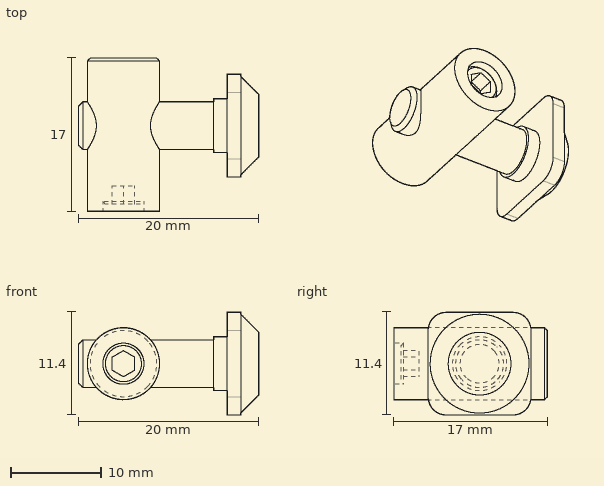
import cadquery as cq
import math

overall_length = 20.0
bolt_diameter = 5.3
tip_chamfer = 0.5
collar_diameter = 6.0
collar_thickness = 1.5
plate_side = 11.4
plate_thickness = 1.5
plate_corner_radius = 2.0
head_height = 2.0
head_base_radius = 5.48
head_top_radius = head_base_radius - head_height

head_start = overall_length - head_height
plate_start = head_start - plate_thickness
collar_start = plate_start - collar_thickness

barrel_diameter = 8.0
barrel_length = 17.0
barrel_center_x = 5.0
barrel_front_y = -9.5
barrel_chamfer = 0.32

recess_radius = 2.28
screw_face_depth = 0.8
screw_face_radius = 2.0
screw_chamfer = recess_radius - screw_face_radius
socket_across_flats = 2.5
socket_depth = 2.0


def make_bolt():
    """Chamfered shank, collar, rounded square plate and conical head."""
    shank = cq.Workplane("YZ").circle(bolt_diameter / 2).extrude(plate_start)
    shank = shank.faces("<X").chamfer(tip_chamfer)
    collar = (
        cq.Workplane("YZ", origin=(collar_start, 0, 0))
        .circle(collar_diameter / 2)
        .extrude(collar_thickness)
    )
    plate = (
        cq.Workplane("YZ", origin=(plate_start, 0, 0))
        .rect(plate_side, plate_side)
        .extrude(plate_thickness)
        .edges("|X")
        .fillet(plate_corner_radius)
    )
    head = cq.Workplane(
        cq.Solid.makeCone(
            head_base_radius,
            head_top_radius,
            head_height,
            pnt=cq.Vector(head_start, 0, 0),
            dir=cq.Vector(1, 0, 0),
        )
    )
    return shank.union(collar).union(plate).union(head)


def make_barrel():
    """Plain cylinder chamfered at its rear end."""
    barrel = (
        cq.Workplane("XZ", origin=(barrel_center_x, barrel_front_y, 0))
        .circle(barrel_diameter / 2)
        .extrude(-barrel_length)
    )
    return barrel.faces(">Y").chamfer(barrel_chamfer)


def make_socket():
    """Cutter for the recess around the chamfered screw end and for its hexagon socket."""
    recess = (
        cq.Workplane("XZ", origin=(barrel_center_x, barrel_front_y, 0))
        .circle(recess_radius)
        .extrude(-(screw_face_depth + screw_chamfer))
    )
    screw_end = cq.Workplane(
        cq.Solid.makeCone(
            screw_face_radius,
            recess_radius,
            screw_chamfer,
            pnt=cq.Vector(barrel_center_x, barrel_front_y + screw_face_depth, 0),
            dir=cq.Vector(0, 1, 0),
        )
    )
    across_corners = socket_across_flats / math.cos(math.radians(30))
    hexagon = (
        cq.Workplane("XZ", origin=(barrel_center_x, barrel_front_y + screw_face_depth, 0))
        .transformed(rotate=(0, 0, 90))
        .polygon(6, across_corners)
        .extrude(-socket_depth)
    )
    return recess.cut(screw_end).union(hexagon)


result = make_bolt().union(make_barrel()).cut(make_socket())